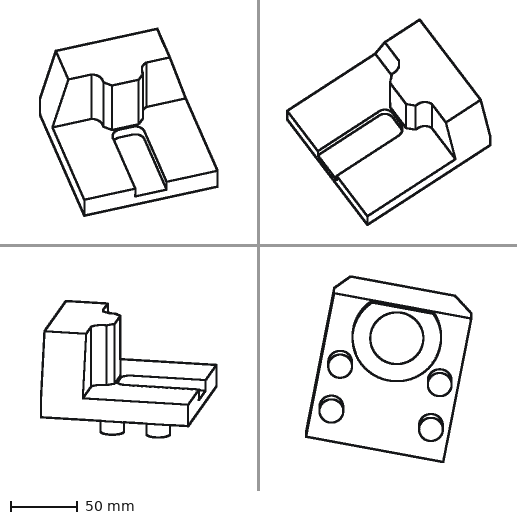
import cadquery as cq
import math

plate_length = 113.0
plate_width = 105.0
plate_height = 17.0

tower_height = 47.0
tower_top_width = 79.9
tower_depth = 32.1

nose_end_x = 47.9
nose_half_width = 15.6
nose_chamfer = 5.1
relief_radius = 8.98
relief_center_x = 40.6

channel_start_x = 49.3
channel_width = 24.6
channel_depth = 8.2
channel_corner_radius = 7.1

pad_center_x = 24.1
pad_radius = 33.3
pad_flat_x = 0.5
pad_height = 5.5
disc_diameter = 40.0
disc_height = 0.5

pin_diameter = 18.0
pin_height = 12.1
pin_x_positions = (51.8, 87.0)
pin_half_spacing = 38.1


def make_plate():
    return cq.Workplane("XY").box(
        plate_length, plate_width, plate_height, centered=(False, True, False)
    )


def make_tower():
    """Trapezoid across Y, trimmed to the plan outline with the nose."""
    top_z = plate_height + tower_height
    taper = (
        cq.Workplane("YZ")
        .moveTo(-plate_width / 2, plate_height)
        .lineTo(plate_width / 2, plate_height)
        .lineTo(tower_top_width / 2, top_z)
        .lineTo(-tower_top_width / 2, top_z)
        .close()
        .extrude(nose_end_x)
    )

    relief_center_y = nose_half_width + relief_radius
    face_offset = relief_center_x - tower_depth
    arc_start_y = relief_center_y - math.sqrt(relief_radius**2 - face_offset**2)
    half_angle = math.asin(face_offset / relief_radius) / 2
    arc_mid_x = relief_center_x - relief_radius * math.sin(half_angle)
    arc_mid_y = relief_center_y - relief_radius * math.cos(half_angle)
    chamfer_start_x = nose_end_x - nose_chamfer
    tip_half_width = nose_half_width - nose_chamfer

    plan = (
        cq.Workplane("XY")
        .workplane(offset=plate_height)
        .moveTo(0, -plate_width / 2)
        .lineTo(tower_depth, -plate_width / 2)
        .lineTo(tower_depth, -arc_start_y)
        .threePointArc((arc_mid_x, -arc_mid_y), (relief_center_x, -nose_half_width))
        .lineTo(chamfer_start_x, -nose_half_width)
        .lineTo(nose_end_x, -tip_half_width)
        .lineTo(nose_end_x, tip_half_width)
        .lineTo(chamfer_start_x, nose_half_width)
        .lineTo(relief_center_x, nose_half_width)
        .threePointArc((arc_mid_x, arc_mid_y), (tower_depth, arc_start_y))
        .lineTo(tower_depth, plate_width / 2)
        .lineTo(0, plate_width / 2)
        .close()
        .extrude(tower_height)
    )
    return taper.intersect(plan)


def make_channel():
    return (
        cq.Workplane("XY")
        .workplane(offset=plate_height - channel_depth)
        .moveTo(channel_start_x, 0)
        .box(plate_length - channel_start_x, channel_width, channel_depth, centered=(False, True, False))
        .edges("|Z and <X")
        .fillet(channel_corner_radius)
    )


def make_pad():
    pad = cq.Workplane("XY").center(pad_center_x, 0).circle(pad_radius).extrude(-pad_height)
    flat_trim = (
        cq.Workplane("XY")
        .workplane(offset=-pad_height)
        .moveTo(pad_flat_x, 0)
        .box(2 * pad_radius, 2 * pad_radius, pad_height, centered=(False, True, False))
    )
    disc = (
        cq.Workplane("XY")
        .center(pad_center_x, 0)
        .circle(disc_diameter / 2)
        .extrude(-(pad_height + disc_height))
    )
    return pad.intersect(flat_trim).union(disc)


def make_pins():
    centers = [(x, side * pin_half_spacing) for x in pin_x_positions for side in (-1, 1)]
    return cq.Workplane("XY").pushPoints(centers).circle(pin_diameter / 2).extrude(-pin_height)


result = make_plate().cut(make_channel()).union(make_tower()).union(make_pad()).union(make_pins())